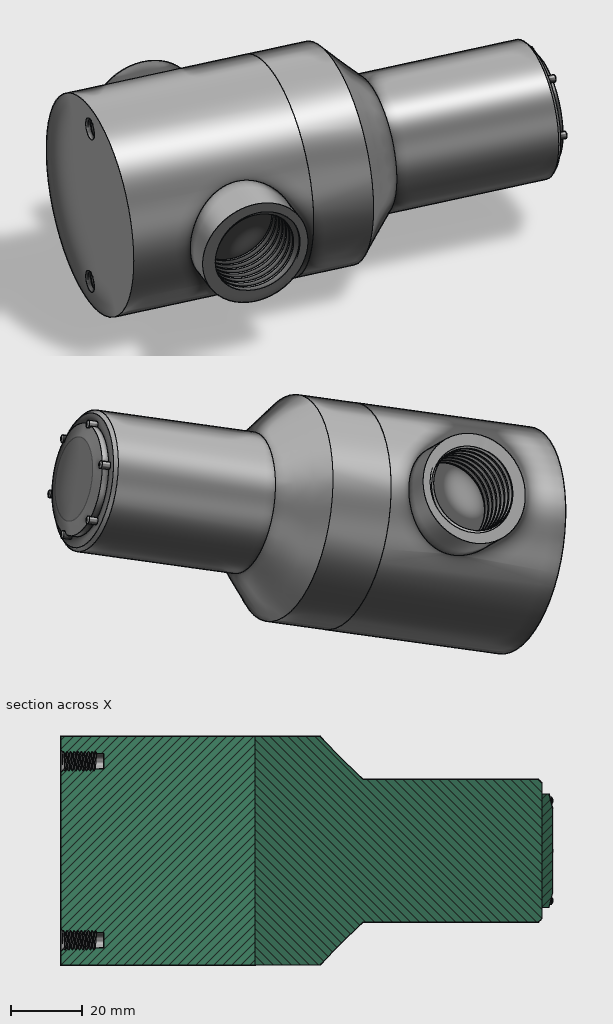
import cadquery as cq
import math

total_length = 137.44
port_span = 82.14

housing_diameter = 64.07
housing_length = 54.4
port_diameter = 31.85
port_center_y = 33.0
port_bore_diameter = 24.12
port_length = 18.0
port_turns = (-90, 90)
port_thread_pitch = 2.54
port_thread_phase = 90.0
port_thread_width = 1.8

mount_hole_offset = 25.0
mount_bore_diameter = 4.2
mount_countersink_diameter = 6.3
mount_hole_depth = 12.0
mount_thread_depth = 10.0
mount_thread_pitch = 1.0
mount_thread_width = 0.7

bonnet_diameter = 64.0
neck_diameter = 40.0
shoulder_start_y = 72.5
shoulder_length = 12.0
shoulder_end_y = shoulder_start_y + shoulder_length
neck_chamfer = 1.0

cap_height = 3.0
cap_diameter = 31.8
cap_bevel_height = 1.0
cap_bevel_width = 4.0
lobe_count = 6
lobe_tip_radius = 17.2
lobe_diameter = 2.2
lobe_bevel_height = 0.4
lobe_bevel_width = 0.7
neck_end_y = total_length - cap_height

groove_angle = 60.0
groove_overlap = 0.1


def cylinder_along_y(diameter, start_y, end_y):
    plane = cq.Workplane("XZ", origin=(0, start_y, 0))
    return plane.circle(diameter / 2).extrude(start_y - end_y)


def thread_groove(bore_diameter, pitch, width, depth):
    """Helical V groove around Z, from one pitch above Z = 0 down to the given depth."""
    bore_radius = bore_diameter / 2
    half_width = width / 2
    slope = 1 / math.tan(math.radians(groove_angle / 2))
    root_radius = bore_radius + half_width * slope
    inner_radius = bore_radius - groove_overlap
    inner_half_width = half_width + groove_overlap / slope
    helix = cq.Wire.makeHelix(pitch, depth + pitch, bore_radius)
    groove = (
        cq.Workplane("XZ")
        .polyline([(inner_radius, -inner_half_width), (root_radius, 0), (inner_radius, inner_half_width)])
        .close()
        .sweep(cq.Workplane(obj=helix), isFrenet=True)
    )
    return groove.translate((0, 0, -depth))


def make_port():
    """Threaded sleeve around Z with its open face at Z = 0, reaching down to -Z."""
    blank = cq.Workplane("XY").circle(port_diameter / 2).extrude(-port_length)
    bore = cq.Workplane("XY").circle(port_bore_diameter / 2).extrude(-port_length)
    groove = thread_groove(
        port_bore_diameter, port_thread_pitch, port_thread_width, port_length + port_thread_pitch
    )
    return blank.cut(groove).cut(bore).rotate((0, 0, 0), (0, 0, 1), port_thread_phase)


def place_port(shape, turn):
    """Move a shape built at the origin to the port on the -X side (turn -90) or +X side (turn 90)."""
    outward = shape.translate((0, 0, port_span / 2)).rotate((0, 0, 0), (0, 1, 0), turn)
    return outward.translate((0, port_center_y, 0))


def make_housing():
    body = cylinder_along_y(housing_diameter, 0, housing_length)
    socket = cq.Workplane("XY").circle(port_diameter / 2).extrude(-port_length)
    for turn in port_turns:
        body = body.cut(place_port(socket, turn))

    countersink_depth = (mount_countersink_diameter - mount_bore_diameter) / 2
    countersink = cq.Workplane(
        cq.Solid.makeCone(
            mount_countersink_diameter / 2,
            mount_bore_diameter / 2,
            countersink_depth,
            dir=cq.Vector(0, 0, -1),
        )
    )
    groove = thread_groove(mount_bore_diameter, mount_thread_pitch, mount_thread_width, mount_thread_depth)
    bore = cq.Workplane("XY").circle(mount_bore_diameter / 2).extrude(-mount_hole_depth)
    for side in (-1, 1):
        for tool in (groove, bore, countersink):
            tool = tool.rotate((0, 0, 0), (1, 0, 0), 90)
            body = body.cut(tool.translate((0, 0, side * mount_hole_offset)))
    return body


def make_bonnet():
    rim = bonnet_diameter / 2
    neck = neck_diameter / 2
    profile = [
        (0, housing_length),
        (rim, housing_length),
        (rim, shoulder_start_y),
        (neck, shoulder_end_y),
        (neck, neck_end_y - neck_chamfer),
        (neck - neck_chamfer, neck_end_y),
        (0, neck_end_y),
    ]
    return cq.Workplane("XY").polyline(profile).close().revolve(360, (0, 0, 0), (0, 1, 0))


def bevelled_disc(diameter, bevel_height, bevel_width):
    """Disc standing on the neck end, with a shallow bevel round its outer face."""
    radius = diameter / 2
    profile = [
        (0, neck_end_y),
        (radius, neck_end_y),
        (radius, total_length - bevel_height),
        (radius - bevel_width, total_length),
        (0, total_length),
    ]
    return cq.Workplane("XY").polyline(profile).close().revolve(360, (0, 0, 0), (0, 1, 0))


def make_cap():
    lobe_spacing = 360 / lobe_count
    cap = bevelled_disc(cap_diameter, cap_bevel_height, cap_bevel_width)
    cap = cap.rotate((0, 0, 0), (0, 1, 0), lobe_spacing / 2)
    lobe = bevelled_disc(lobe_diameter, lobe_bevel_height, lobe_bevel_width)
    lobe = lobe.translate((lobe_tip_radius - lobe_diameter / 2, 0, 0))
    for index in range(lobe_count):
        cap = cap.union(lobe.rotate((0, 0, 0), (0, 1, 0), index * lobe_spacing))
    return cap


housing = make_housing()
ports = [place_port(make_port(), turn) for turn in port_turns]
bonnet = make_bonnet()
cap = make_cap()

result = cq.Compound.makeCompound([housing.val(), bonnet.val(), cap.val(), *[port.val() for port in ports]])